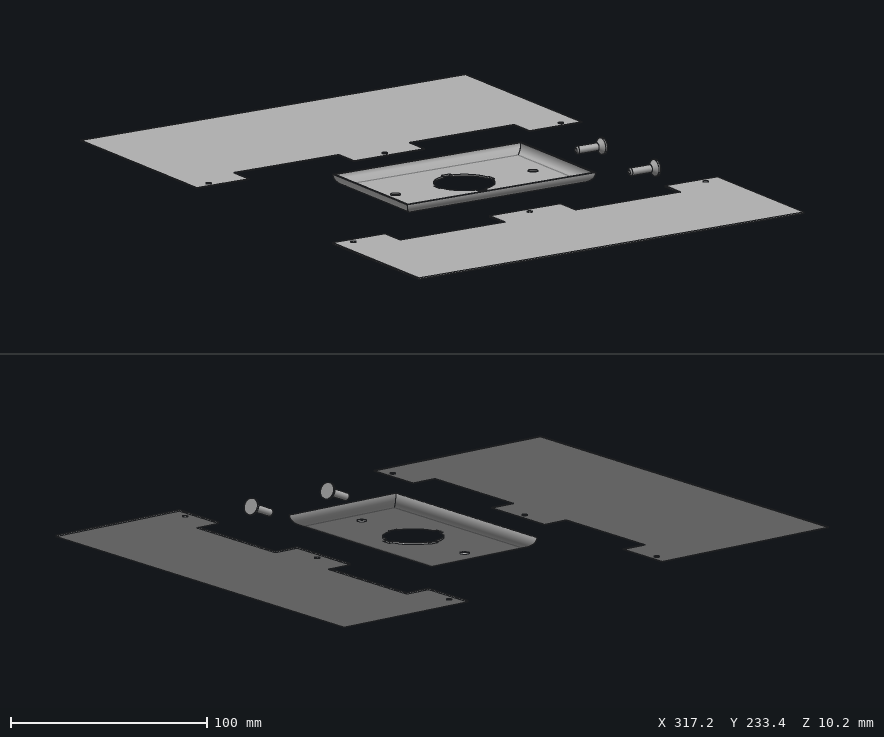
import cadquery as cq
import math

INCH = 25.4

PLATE_WIDTH = 2.75 * INCH
PLATE_LENGTH = 4.5 * INCH
PLATE_HEIGHT = 5.7
PLATE_THICKNESS = 1.0
PLATE_SCREW_SPACING = 83.34
PLATE_SCREW_DIAMETER = 5.0

OPENING_DIAMETER = 31.4
NOTCH_WIDTH = 5.0
NOTCH_SPAN_X = 35.2
NOTCH_SPAN_Y = 33.6

TAB_WIDTH = 1.25 * INCH
RECESS_WIDTH = 2.5 * INCH
RECESS_DEPTH = 9 / 16 * INCH
SHEET_LENGTH = 233.36
SHEET_CENTER_Y = -2.2
SHEET_BOTTOM = 0.1
SHEET_HOLE_DIAMETER = 2.8
SHEET_HOLE_FROM_TAB = 4.3
SHEET_HOLE_FROM_END = 9.9
TOTAL_WIDTH = 317.2
LEFT_SHEET_WIDTH = 109.0
LEFT_SHEET_THICKNESS = 0.4
LEFT_TAB_EDGE_X = -66.84
RIGHT_SHEET_WIDTH = 80.96
RIGHT_SHEET_THICKNESS = 0.8
RIGHT_TAB_EDGE_X = LEFT_TAB_EDGE_X - LEFT_SHEET_WIDTH + TOTAL_WIDTH - RIGHT_SHEET_WIDTH

TOTAL_HEIGHT = 10.19
SCREW_HEAD_DIAMETER = 8.8
SCREW_HEAD_RIM = 1.1
SCREW_CONE_LENGTH = 2.5
SCREW_DIAMETER = 4.2
SCREW_LENGTH = 16.4
SCREW_TIP_CHAMFER = 0.9
SCREW_XS = (-24.1, 25.8)
SCREW_HEAD_Y = 99.6
SCREW_AXIS_Z = PLATE_HEIGHT - TOTAL_HEIGHT + SCREW_HEAD_DIAMETER / 2


def rounded_bar(plane, width, height, length):
    """Bar along the plane's normal whose two lower edges are full-height quarter rounds."""
    half = width / 2
    corner = height * (1 - math.cos(math.pi / 4))
    return (
        cq.Workplane(plane)
        .moveTo(-half, height)
        .threePointArc((-half + corner, corner), (-half + height, 0))
        .lineTo(half - height, 0)
        .threePointArc((half - corner, corner), (half, height))
        .close()
        .extrude(length / 2, both=True)
    )


def mitred_dish(width, length, height):
    """Solid dish shape: two crossed rounded bars meet in sharp mitred corners."""
    return rounded_bar("XZ", width, height, length).intersect(rounded_bar("YZ", length, height, width))


def opening_notches():
    along_x = cq.Workplane("XY").rect(NOTCH_SPAN_X, NOTCH_WIDTH).extrude(PLATE_HEIGHT)
    along_y = cq.Workplane("XY").rect(NOTCH_WIDTH, NOTCH_SPAN_Y).extrude(PLATE_HEIGHT)
    return along_x.union(along_y)


def make_wall_plate():
    wall = 2 * PLATE_THICKNESS
    outside = mitred_dish(PLATE_WIDTH, PLATE_LENGTH, PLATE_HEIGHT)
    inside = mitred_dish(PLATE_WIDTH - wall, PLATE_LENGTH - wall, PLATE_HEIGHT - PLATE_THICKNESS)
    plate = outside.cut(inside.translate((0, 0, PLATE_THICKNESS)))
    opening = cq.Workplane("XY").circle(OPENING_DIAMETER / 2).extrude(PLATE_HEIGHT)
    screw_holes = (
        cq.Workplane("XY")
        .rarray(1, PLATE_SCREW_SPACING, 1, 2)
        .circle(PLATE_SCREW_DIAMETER / 2)
        .extrude(PLATE_HEIGHT)
    )
    return plate.cut(opening).cut(opening_notches()).cut(screw_holes)


def make_sheet(tab_edge_x, width, thickness, inward):
    """Sheet whose tabs point along X in the direction `inward` (+1 or -1)."""
    sheet = (
        cq.Workplane("XY", origin=(tab_edge_x - inward * width / 2, SHEET_CENTER_Y, SHEET_BOTTOM))
        .rect(width, SHEET_LENGTH)
        .extrude(thickness)
    )
    recess_spacing = SHEET_LENGTH - 2 * TAB_WIDTH - RECESS_WIDTH
    recesses = (
        cq.Workplane("XY", origin=(tab_edge_x - inward * RECESS_DEPTH / 2, SHEET_CENTER_Y, SHEET_BOTTOM))
        .rarray(1, recess_spacing, 1, 2)
        .rect(RECESS_DEPTH, RECESS_WIDTH)
        .extrude(thickness)
    )
    hole_pitch = SHEET_LENGTH / 2 - SHEET_HOLE_FROM_END
    holes = (
        cq.Workplane("XY", origin=(tab_edge_x - inward * SHEET_HOLE_FROM_TAB, SHEET_CENTER_Y, SHEET_BOTTOM))
        .rarray(1, hole_pitch, 1, 3)
        .circle(SHEET_HOLE_DIAMETER / 2)
        .extrude(thickness)
    )
    return sheet.cut(recesses).cut(holes)


def make_screw(x):
    head_radius = SCREW_HEAD_DIAMETER / 2
    shank_radius = SCREW_DIAMETER / 2
    cone_end = SCREW_HEAD_RIM + SCREW_CONE_LENGTH
    screw = (
        cq.Workplane("XY")
        .lineTo(head_radius, 0)
        .lineTo(head_radius, -SCREW_HEAD_RIM)
        .lineTo(shank_radius, -cone_end)
        .lineTo(shank_radius, -SCREW_LENGTH + SCREW_TIP_CHAMFER)
        .lineTo(shank_radius - SCREW_TIP_CHAMFER, -SCREW_LENGTH)
        .lineTo(0, -SCREW_LENGTH)
        .close()
        .revolve(360, (0, 0), (0, 1))
    )
    return screw.translate((x, SCREW_HEAD_Y, SCREW_AXIS_Z))


wall_plate = make_wall_plate()
left_sheet = make_sheet(LEFT_TAB_EDGE_X, LEFT_SHEET_WIDTH, LEFT_SHEET_THICKNESS, 1)
right_sheet = make_sheet(RIGHT_TAB_EDGE_X, RIGHT_SHEET_WIDTH, RIGHT_SHEET_THICKNESS, -1)
screws = [make_screw(x) for x in SCREW_XS]

result = cq.Compound.makeCompound(
    [wall_plate.val(), left_sheet.val(), right_sheet.val(), *[screw.val() for screw in screws]]
)